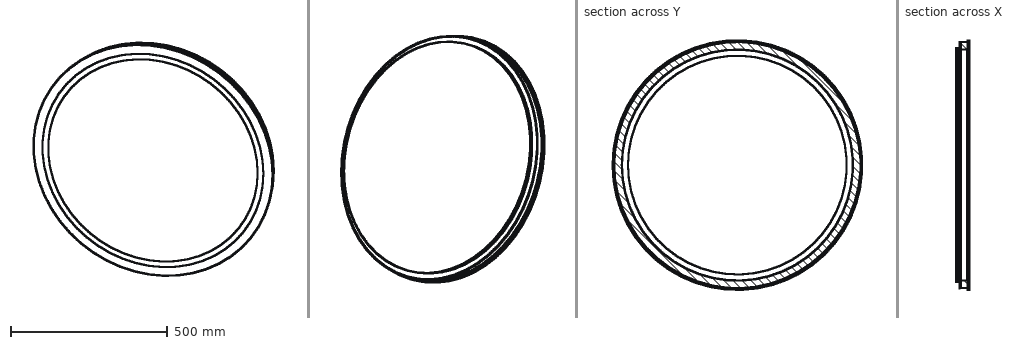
import cadquery as cq

flange_radius = 400.0
rim_radius = 395.0
rim_wall = 2.0
trim_radius = 370.0
window_radius = 350.0
back_radius = 375.0

flange_back = 6.0
pocket_floor = 8.0
sheet_front = 28.0
plate_front = 30.0
rim_back = 32.0
mount_split = 38.0
cover_thickness = 2.0
total_depth = 44.0

inner_radius = rim_radius - rim_wall
cover_front = total_depth - cover_thickness


def front_circle(radius, front):
    """Circle around the lamp axis, on the plane y = front."""
    return cq.Workplane("XZ", origin=(0, front, 0)).circle(radius)


def make_disc(radius, front, back):
    """Solid disc filling the depth from front to back."""
    return front_circle(radius, front).extrude(front - back)


def make_ring(outer_radius, hole_radius, front, back):
    """Flat ring filling the depth from front to back."""
    return front_circle(outer_radius, front).circle(hole_radius).extrude(front - back)


def make_frame():
    """Front flange and thin rim, hollowed by a pocket that opens at the back."""
    flange = make_ring(flange_radius, trim_radius, 0, flange_back)
    rim = make_ring(rim_radius, trim_radius, flange_back, rim_back)
    pocket = make_disc(inner_radius, pocket_floor, rim_back)
    return flange.union(rim).cut(pocket)


window = make_disc(window_radius, 0, pocket_floor)
trim_ring = make_ring(trim_radius, window_radius, 0, pocket_floor)
frame = make_frame()

spacer_ring = make_ring(inner_radius, trim_radius, pocket_floor, sheet_front)
sheet = make_disc(inner_radius, sheet_front, plate_front)
plate = make_disc(inner_radius, plate_front, rim_back)

inner_mount = make_disc(back_radius, rim_back, mount_split)
outer_mount = make_disc(back_radius, mount_split, cover_front)
cover = make_disc(back_radius, cover_front, total_depth)

bodies = [
    window,
    trim_ring,
    frame,
    spacer_ring,
    sheet,
    plate,
    inner_mount,
    outer_mount,
    cover,
]
result = cq.Compound.makeCompound([body.val() for body in bodies])